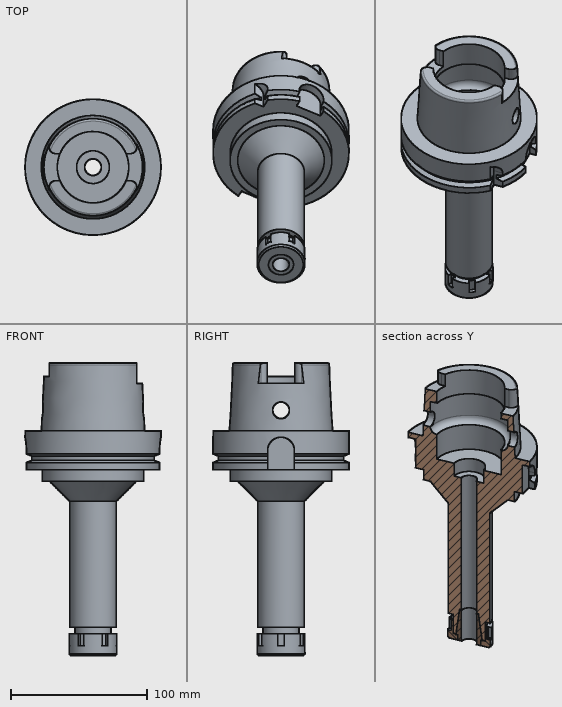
import cadquery as cq
import math


TOTAL_LENGTH = 215.0
SHANK_LENGTH = 49.9
NOSE_Z = SHANK_LENGTH - TOTAL_LENGTH

SHANK_BASE_RADIUS = 38.0
SHANK_SLOPE = 0.05
SHANK_TIP_RADIUS = SHANK_BASE_RADIUS - SHANK_SLOPE * SHANK_LENGTH
SHANK_TIP_FILLET = 1.61

FLANGE_DIAMETER = 100.0
FLANGE_RADIUS = FLANGE_DIAMETER / 2
FLANGE_HEIGHT = 28.8
GROOVE_RADIUS = 46.2
GROOVE_TOP_Z = -17.0
GROOVE_BOTTOM_Z = -23.5
GROOVE_BEVEL = 1.61

COLLAR_RADIUS = 37.5
COLLAR_BOTTOM_Z = -37.2
SHAFT_RADIUS = 17.2
CONE_TOP_RADIUS = 31.8
CONE_BOTTOM_Z = COLLAR_BOTTOM_Z - (CONE_TOP_RADIUS - SHAFT_RADIUS)
SHAFT_BOTTOM_Z = -144.5
NECK_RADIUS = 13.3

CAVITY_MOUTH_RADIUS = 26.2
CAVITY_MOUTH_DEPTH = 20.0
UNDERCUT_RADIUS = 31.5
UNDERCUT_DEPTH = 46.0
UNDERCUT_FILLET = 5.2
CAVITY_DEPTH = 66.6
TUBE_RECESS_RADIUS = 12.0
TUBE_RECESS_DEPTH = 10.8
BORE_RADIUS = 6.0

DRIVE_SLOT_HALF_WIDTH = 10.0
DRIVE_TANG_HALF_LENGTH = 32.2
DRIVE_TANG_FILLET = 4.7
SHALLOW_SLOT_DEPTH = 9.9
DEEP_SLOT_DEPTH = 15.0

CROSS_HOLE_RADIUS = 6.0
CROSS_HOLE_Z = 15.0

KEYWAY_RADIUS = 9.9
KEYWAY_TOP_Z = -4.7
KEYWAY_FLOOR_X = 44.0
NOTCH_FLOOR_X = 32.2
NOTCH_CENTRE_Y = 41.0

NUT_RADIUS = 17.6
NUT_TOP_Z = -149.0
NUT_CHAMFER = 1.3
NUT_LIP = 4.7
NUT_INNER_Z = NOSE_Z + NUT_LIP
NUT_SLOT_COUNT = 6
NUT_SLOT_WIDTH = 4.5
NUT_SLOT_LENGTH = 9.0
NUT_SLOT_FLOOR_RADIUS = 14.8

COLLET_NOSE_RADIUS = 9.2
COLLET_MAX_RADIUS = 10.5
COLLET_TAPER_LENGTH = 21.5
COLLET_TAPER_ANGLE = 8.0
COLLET_BACK_RADIUS = COLLET_MAX_RADIUS - COLLET_TAPER_LENGTH * math.tan(math.radians(COLLET_TAPER_ANGLE))
COLLET_BACK_Z = NUT_INNER_Z + COLLET_TAPER_LENGTH


def revolve_profile(points):
    """Solid of revolution about Z from (radius, z) points."""
    return cq.Workplane("XZ").polyline(points).close().revolve(360, (0, 0, 0), (0, 1, 0))


def cylinder(radius, bottom_z, top_z):
    return cq.Workplane("XY").workplane(offset=bottom_z).circle(radius).extrude(top_z - bottom_z)


def make_holder_blank():
    blank = revolve_profile([
        (0, SHANK_LENGTH),
        (SHANK_TIP_RADIUS, SHANK_LENGTH),
        (SHANK_BASE_RADIUS, 0),
        (FLANGE_RADIUS, 0),
        (FLANGE_RADIUS, GROOVE_TOP_Z),
        (GROOVE_RADIUS, GROOVE_TOP_Z - GROOVE_BEVEL),
        (GROOVE_RADIUS, GROOVE_BOTTOM_Z + GROOVE_BEVEL),
        (FLANGE_RADIUS, GROOVE_BOTTOM_Z),
        (FLANGE_RADIUS, -FLANGE_HEIGHT),
        (COLLAR_RADIUS, -FLANGE_HEIGHT),
        (COLLAR_RADIUS, COLLAR_BOTTOM_Z),
        (CONE_TOP_RADIUS, COLLAR_BOTTOM_Z),
        (SHAFT_RADIUS, CONE_BOTTOM_Z),
        (SHAFT_RADIUS, SHAFT_BOTTOM_Z),
        (NECK_RADIUS, SHAFT_BOTTOM_Z),
        (NECK_RADIUS, NUT_INNER_Z),
        (0, NUT_INNER_Z),
    ])
    return blank.faces(">Z").edges().fillet(SHANK_TIP_FILLET)


def make_cavity():
    """Clamping cavity with a round-bottomed undercut, and the recess for the coolant tube in its floor."""
    floor_z = SHANK_LENGTH - CAVITY_DEPTH
    undercut = cylinder(UNDERCUT_RADIUS, SHANK_LENGTH - UNDERCUT_DEPTH, SHANK_LENGTH - CAVITY_MOUTH_DEPTH)
    undercut = undercut.faces("<Z").edges().fillet(UNDERCUT_FILLET)
    cavity = cylinder(CAVITY_MOUTH_RADIUS, floor_z, SHANK_LENGTH).union(undercut)
    return cavity.union(cylinder(TUBE_RECESS_RADIUS, floor_z - TUBE_RECESS_DEPTH, floor_z))


def make_drive_slot(side, depth):
    """Slot at the shank tip on one side (+1 or -1 along X), flaring outward around the tang corners."""
    outer = FLANGE_RADIUS
    half_width = DRIVE_SLOT_HALF_WIDTH
    arc_x = DRIVE_TANG_HALF_LENGTH - DRIVE_TANG_FILLET
    arc_y = half_width + DRIVE_TANG_FILLET
    diagonal = DRIVE_TANG_FILLET * math.sqrt(0.5)
    slot = (
        cq.Workplane("XY").workplane(offset=SHANK_LENGTH - depth)
        .moveTo(0, half_width)
        .lineTo(side * arc_x, half_width)
        .threePointArc((side * (arc_x + diagonal), arc_y - diagonal), (side * DRIVE_TANG_HALF_LENGTH, arc_y))
        .lineTo(side * DRIVE_TANG_HALF_LENGTH, outer)
        .lineTo(side * outer, outer)
        .lineTo(side * outer, -outer)
        .lineTo(side * DRIVE_TANG_HALF_LENGTH, -outer)
        .lineTo(side * DRIVE_TANG_HALF_LENGTH, -arc_y)
        .threePointArc((side * (arc_x + diagonal), diagonal - arc_y), (side * arc_x, -half_width))
        .lineTo(0, -half_width)
        .close()
        .extrude(depth)
    )
    return slot


def make_keyway(side, floor_x, centre_y):
    """Round-topped cut into the flange, open at the flange bottom, with a flat floor at |x| = floor_x."""
    depth = FLANGE_RADIUS - floor_x
    centre_z = KEYWAY_TOP_Z - KEYWAY_RADIUS
    straight = FLANGE_HEIGHT + centre_z
    plane = cq.Workplane("YZ", origin=(side * floor_x, 0, 0))
    round_end = plane.center(centre_y, centre_z).circle(KEYWAY_RADIUS).extrude(side * depth)
    straight_part = (
        plane.center(centre_y, centre_z - straight / 2)
        .rect(2 * KEYWAY_RADIUS, straight)
        .extrude(side * depth)
    )
    return round_end.union(straight_part)


def make_cross_hole():
    return (
        cq.Workplane("YZ").center(0, CROSS_HOLE_Z)
        .circle(CROSS_HOLE_RADIUS)
        .extrude(FLANGE_RADIUS, both=True)
    )


def make_collet_blank():
    return revolve_profile([
        (0, NOSE_Z),
        (COLLET_NOSE_RADIUS, NOSE_Z),
        (COLLET_NOSE_RADIUS, NUT_INNER_Z),
        (COLLET_MAX_RADIUS, NUT_INNER_Z),
        (COLLET_BACK_RADIUS, COLLET_BACK_Z),
        (0, COLLET_BACK_Z),
    ])


def make_bore():
    return cylinder(BORE_RADIUS, NOSE_Z, SHANK_LENGTH)


def make_holder():
    holder = make_holder_blank().cut(make_cavity()).cut(make_bore()).cut(make_collet_blank())
    holder = holder.cut(make_drive_slot(-1, SHALLOW_SLOT_DEPTH)).cut(make_drive_slot(1, DEEP_SLOT_DEPTH))
    holder = holder.cut(make_cross_hole())
    for side in (-1, 1):
        holder = holder.cut(make_keyway(side, KEYWAY_FLOOR_X, 0))
    return holder.cut(make_keyway(-1, NOTCH_FLOOR_X, NOTCH_CENTRE_Y))


def make_nut():
    nut = cylinder(NUT_RADIUS, NOSE_Z, NUT_TOP_Z).faces("<Z").edges().chamfer(NUT_CHAMFER)
    nut = nut.cut(cylinder(NECK_RADIUS, NUT_INNER_Z, NUT_TOP_Z))
    nut = nut.cut(cylinder(COLLET_NOSE_RADIUS, NOSE_Z, NUT_INNER_Z))
    slot = cq.Workplane("XY").box(
        NUT_RADIUS, NUT_SLOT_WIDTH, NUT_SLOT_LENGTH, centered=(False, True, False)
    ).translate((NUT_SLOT_FLOOR_RADIUS, 0, NUT_TOP_Z - NUT_SLOT_LENGTH))
    for index in range(NUT_SLOT_COUNT):
        nut = nut.cut(slot.rotate((0, 0, 0), (0, 0, 1), index * 360 / NUT_SLOT_COUNT))
    return nut


def make_collet():
    return make_collet_blank().cut(make_bore())


holder = make_holder()
nut = make_nut()
collet = make_collet()

result = cq.Compound.makeCompound([holder.val(), nut.val(), collet.val()])